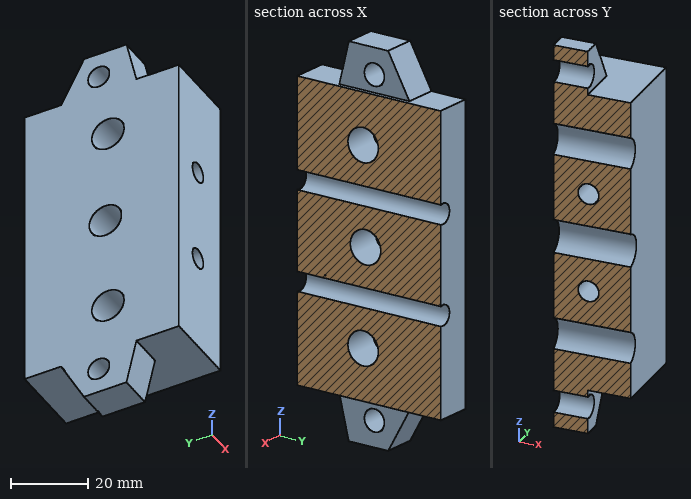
import cadquery as cq

BLOCK_THICKNESS = 21.9
BLOCK_WIDTH = 46.0
BLOCK_HEIGHT = 85.1

TOTAL_HEIGHT = 110.0
EAR_THICKNESS = 9.8
EAR_ROOT_Y_MIN = -10.3
EAR_ROOT_Y_MAX = 12.1
EAR_TIP_Y_MIN = -7.4
EAR_TIP_Y_MAX = 5.3
EAR_HOLE_DIAMETER = 6.4
EAR_HOLE_Y = 0.9
EAR_HOLE_Z = 47.5

HOLE_PITCH = 27.9
BORE_DIAMETER = 9.6
CENTRE_BORE_Y = -1.1
OUTER_BORE_Y = -1.9

CROSS_HOLE_DIAMETER = 5.7
CROSS_HOLE_X = -1.0

BACK_X = -BLOCK_THICKNESS / 2
FRONT_Y = -BLOCK_WIDTH / 2


def ear(side):
    """Tapered tab on the top (side = 1) or bottom (side = -1) of the block."""
    root_z = side * BLOCK_HEIGHT / 2
    tip_z = side * TOTAL_HEIGHT / 2
    outline = [
        (EAR_ROOT_Y_MIN, root_z),
        (EAR_TIP_Y_MIN, tip_z),
        (EAR_TIP_Y_MAX, tip_z),
        (EAR_ROOT_Y_MAX, root_z),
    ]
    plane = cq.Workplane("YZ", origin=(BACK_X, 0, 0))
    return plane.polyline(outline).close().extrude(EAR_THICKNESS)


def hole_along_x(y, z, diameter):
    """Cylinder running through the full thickness of the block."""
    plane = cq.Workplane("YZ", origin=(BACK_X, y, z))
    return plane.circle(diameter / 2).extrude(BLOCK_THICKNESS)


def hole_along_y(x, z, diameter):
    """Cylinder running through the full width of the block."""
    plane = cq.Workplane("XZ", origin=(x, FRONT_Y, z))
    return plane.circle(diameter / 2).extrude(-BLOCK_WIDTH)


part = cq.Workplane("XY").box(BLOCK_THICKNESS, BLOCK_WIDTH, BLOCK_HEIGHT)
part = part.cut(hole_along_x(CENTRE_BORE_Y, 0, BORE_DIAMETER))

for side in (1, -1):
    part = part.union(ear(side))
    part = part.cut(hole_along_x(EAR_HOLE_Y, side * EAR_HOLE_Z, EAR_HOLE_DIAMETER))
    part = part.cut(hole_along_x(OUTER_BORE_Y, side * HOLE_PITCH, BORE_DIAMETER))
    part = part.cut(hole_along_y(CROSS_HOLE_X, side * HOLE_PITCH / 2, CROSS_HOLE_DIAMETER))

result = part